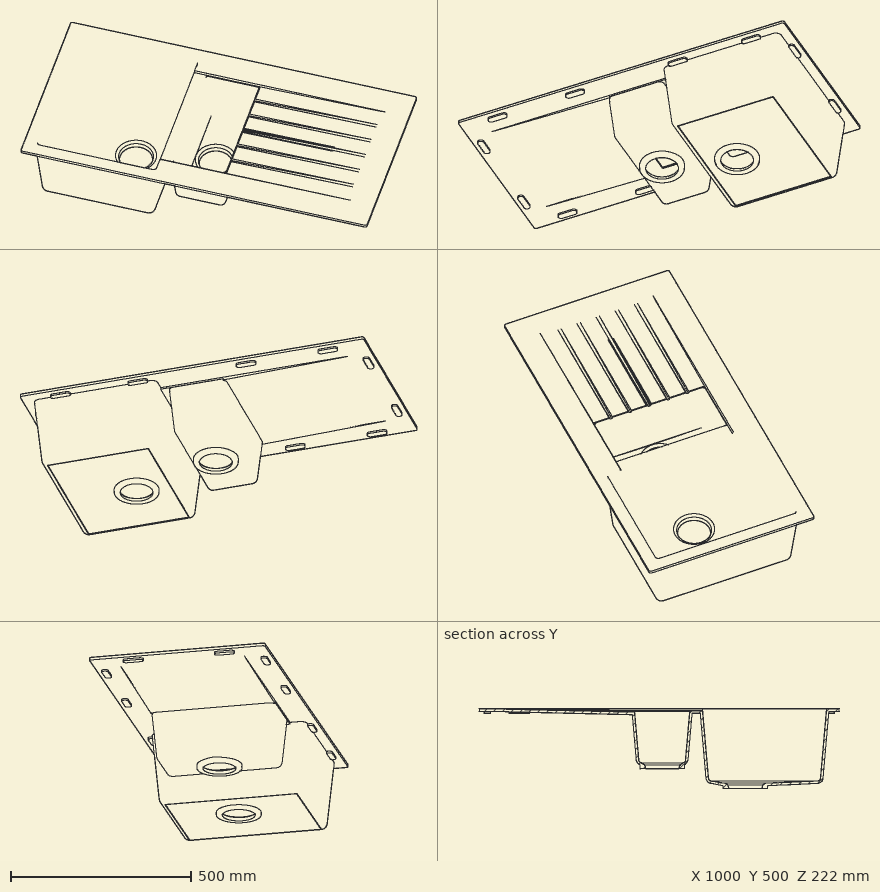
import cadquery as cq
import math

PLATE_LENGTH = 1000
PLATE_WIDTH = 500
SHEET = 8
PLATE_CORNER_RADIUS = 6

WALL_DRAFT = 5
INNER_FLOOR_FILLET = 7
OUTER_FLOOR_FILLET = 18
RIM_FILLET = 3
RIM_MARGIN = 1

MAIN_X = -292
MAIN_LENGTH = 344
MAIN_WIDTH = 427
MAIN_DEPTH = 200
MAIN_CORNER_RADIUS = 10
MAIN_FLOOR_FALL = 6
MAIN_FLOOR_MARGIN = 1

SMALL_X = -8
SMALL_LENGTH = 153
SMALL_WIDTH = 337
SMALL_DEPTH = 149
SMALL_CORNER_RADIUS = 6
SMALL_FLOOR_FALL = 2
SMALL_FLOOR_FLAT = 117

MAIN_DRAIN_X = -239
SMALL_DRAIN_X = -8.5
DRAIN_BOSS_RADIUS = 62.5
DRAIN_CONE_RADIUS = 57
DRAIN_CONE_DEPTH = 5
DRAIN_HOLE_TOP_RADIUS = 48.5
DRAIN_HOLE_RADIUS = 45.5
DRAIN_BOSS_FILLET = 2
MAIN_BOSS_BOTTOM = -222
SMALL_BOSS_BOTTOM = -167
DRAINS = (
    (MAIN_DRAIN_X, MAIN_BOSS_BOTTOM, -MAIN_DEPTH - MAIN_FLOOR_FALL),
    (SMALL_DRAIN_X, SMALL_BOSS_BOTTOM, -SMALL_DEPTH - SMALL_FLOOR_FALL),
)

LEDGE_DEPTH = 5
BOARD_WALL_FLARE = 0.6
CHANNEL_OVERSHOOT = 1
BOARD_START_X = SMALL_X + SMALL_LENGTH / 2
BOARD_END_X = 422
BOARD_END_DEPTH = 1
BOARD_LIP_X = 430
BOARD_TOP_WIDTH = SMALL_WIDTH + 2 * LEDGE_DEPTH * BOARD_WALL_FLARE
RECESS_STATIONS = (
    (MAIN_X, LEDGE_DEPTH),
    (BOARD_START_X, LEDGE_DEPTH),
    (BOARD_END_X, BOARD_END_DEPTH),
    (BOARD_LIP_X, 0),
)

GROOVE_PITCH = 58
GROOVE_COUNT = 5
GROOVE_WIDTH = 10
GROOVE_START_DEPTH = 9
GROOVE_WALL_FLARE = 0.7
WIDE_GROOVE_WIDTH = 16
WIDE_GROOVE_START_DEPTH = 6.5
WIDE_GROOVE_END_X = 332

PAD_LENGTH = 57
PAD_WIDTH = 18
PAD_HEIGHT = 5
PAD_EDGE_DISTANCE = 23
PAD_XS = (-389, -164, 151, 389)
PAD_Y = 130

DRAFT_SLOPE = math.tan(math.radians(WALL_DRAFT))


def tapered_block(x, length, width, top, bottom, corner_radius, floor_fillet):
    """Block narrowing downwards, with rounded corners and a rounded bottom edge."""
    block = (
        cq.Workplane("XY", origin=(x, 0, top))
        .rect(length, width)
        .extrude(bottom - top, taper=WALL_DRAFT)
    )
    block = block.edges("not(#Z)").fillet(corner_radius)
    return block.faces("<Z").edges().fillet(floor_fillet)


def bowl_outside(x, length, width, top, depth, corner_radius):
    """Bowl cavity grown by the sheet thickness, from the plate's top face down."""
    growth = 2 * (SHEET - top * DRAFT_SLOPE)
    return tapered_block(
        x, length + growth, width + growth, 0, -depth - SHEET,
        corner_radius + SHEET, OUTER_FLOOR_FILLET,
    )


def falling_floor(length, width, z):
    """Solid between a rectangle and the drain circle below it, with straight-ruled sides."""
    corners = [
        cq.Vector(MAIN_X + sx * length / 2, sy * width / 2, z)
        for sx, sy in ((1, 1), (-1, 1), (-1, -1), (1, -1))
    ]
    angles = [math.atan2(corner.y, corner.x - MAIN_DRAIN_X) % (2 * math.pi) for corner in corners]

    def on_circle(angle):
        return cq.Vector(
            MAIN_DRAIN_X + DRAIN_BOSS_RADIUS * math.cos(angle),
            DRAIN_BOSS_RADIUS * math.sin(angle),
            z - MAIN_FLOOR_FALL,
        )

    arcs = []
    for start, end in zip(angles, angles[1:] + angles[:1]):
        if end < start:
            end += 2 * math.pi
        arcs.append(cq.Edge.makeThreePointArc(on_circle(start), on_circle((start + end) / 2), on_circle(end)))
    rectangle = cq.Wire.makePolygon(corners, close=True)
    return cq.Workplane(cq.Solid.makeLoft([rectangle, cq.Wire.assembleEdges(arcs)], True))


def side_profile(points, width):
    """XZ outline extruded to the given width about Y = 0."""
    return cq.Workplane("XZ").polyline(points).close().extrude(width / 2, both=True)


def flared_channel(start, end, y, width, flare):
    """Channel along X between two stations, each given as (x, surface depth, bottom depth).

    The channel has the given width at the surface and reaches above it by the channel overshoot.
    """
    sections = []
    for x, surface_depth, bottom_depth in (start, end):
        top_half = width / 2 + CHANNEL_OVERSHOOT * flare
        bottom_half = width / 2 - (bottom_depth - surface_depth) * flare
        corners = [
            cq.Vector(x, y - top_half, CHANNEL_OVERSHOOT - surface_depth),
            cq.Vector(x, y - bottom_half, -bottom_depth),
            cq.Vector(x, y + bottom_half, -bottom_depth),
            cq.Vector(x, y + top_half, CHANNEL_OVERSHOOT - surface_depth),
        ]
        sections.append(cq.Wire.makePolygon(corners, close=True))
    return cq.Workplane(cq.Solid.makeLoft(sections, True))


def drain_boss(x, bottom, floor_z):
    """Round boss around a drain, from its rounded bottom edge up to the bowl floor."""
    boss = cq.Workplane("XY", origin=(x, 0, bottom)).circle(DRAIN_BOSS_RADIUS).extrude(floor_z - bottom)
    return boss.faces("<Z").edges().fillet(DRAIN_BOSS_FILLET)


def drain_opening(x, bottom, floor_z):
    """Cone leading from the floor into a slightly tapered through hole."""
    hole_top = floor_z - DRAIN_CONE_DEPTH
    outline = [
        (0, bottom),
        (DRAIN_HOLE_RADIUS, bottom),
        (DRAIN_HOLE_TOP_RADIUS, hole_top),
        (DRAIN_CONE_RADIUS, floor_z),
        (0, floor_z),
    ]
    profile = cq.Workplane("XZ", origin=(x, 0, 0)).polyline(outline).close()
    return profile.revolve(360, (0, 0, 0), (0, 1, 0))


def pad(x, y, angle):
    """Round-ended support pad hanging from the plate."""
    return (
        cq.Workplane("XY", origin=(x, y, -SHEET - PAD_HEIGHT))
        .slot2D(PAD_LENGTH, PAD_WIDTH, angle)
        .extrude(PAD_HEIGHT)
    )


def floor_size(size, depth, margin):
    """Side of the falling floor area, inside the floor fillets of a bowl."""
    draft_angle = math.radians(WALL_DRAFT)
    fillet_reach = INNER_FLOOR_FILLET * math.tan((math.pi / 2 - draft_angle) / 2)
    return size - 2 * (depth * DRAFT_SLOPE + fillet_reach + margin)


def rim_round(side):
    """Material to remove along a long edge of the small bowl (side -1 left, 1 right)."""
    wall_x = SMALL_X + side * (SMALL_LENGTH / 2 - RIM_FILLET * DRAFT_SLOPE)
    rim_x = wall_x + side * RIM_FILLET
    tangent_z = -LEDGE_DEPTH - RIM_FILLET
    arc_inset = RIM_FILLET * (1 - math.sqrt(0.5))
    outline = (
        cq.Workplane("XZ")
        .moveTo(SMALL_X, tangent_z)
        .lineTo(wall_x, tangent_z)
        .threePointArc((wall_x + side * arc_inset, -LEDGE_DEPTH - arc_inset), (rim_x, -LEDGE_DEPTH))
        .lineTo(SMALL_X, -LEDGE_DEPTH)
        .close()
    )
    return outline.extrude(SMALL_WIDTH / 2, both=True)


def board_line_depth(x, start_depth):
    """Depth at x of a line rising from start_depth at the small bowl to the far end of the board."""
    share_to_end = (BOARD_END_X - x) / (BOARD_END_X - BOARD_START_X)
    return BOARD_END_DEPTH + share_to_end * (start_depth - BOARD_END_DEPTH)


def groove(y, width, start_depth, end_x):
    """Drain groove that deepens from the far end of the board towards the small bowl."""
    start, end = [
        (x, board_line_depth(x, LEDGE_DEPTH), board_line_depth(x, start_depth))
        for x in (BOARD_START_X - RIM_FILLET, end_x)
    ]
    return flared_channel(start, end, y, width, GROOVE_WALL_FLARE)


body = (
    cq.Workplane("XY", origin=(0, 0, -SHEET))
    .rect(PLATE_LENGTH, PLATE_WIDTH)
    .extrude(SHEET)
    .edges("|Z")
    .fillet(PLATE_CORNER_RADIUS)
)

board_underside = side_profile(
    [
        (MAIN_X + MAIN_LENGTH / 2, -SHEET),
        (MAIN_X + MAIN_LENGTH / 2, -SHEET - LEDGE_DEPTH),
        (BOARD_START_X, -SHEET - LEDGE_DEPTH),
        (BOARD_START_X, -SHEET - GROOVE_START_DEPTH),
        (BOARD_END_X, -SHEET - BOARD_END_DEPTH),
        (BOARD_LIP_X, -SHEET),
    ],
    SMALL_WIDTH + 2 * SHEET,
)
body = body.union(board_underside)

body = body.union(bowl_outside(MAIN_X, MAIN_LENGTH, MAIN_WIDTH, 0, MAIN_DEPTH, MAIN_CORNER_RADIUS))
main_floor_length = floor_size(MAIN_LENGTH, MAIN_DEPTH, MAIN_FLOOR_MARGIN)
main_floor_width = floor_size(MAIN_WIDTH, MAIN_DEPTH, MAIN_FLOOR_MARGIN)
body = body.union(falling_floor(main_floor_length, main_floor_width, -MAIN_DEPTH - SHEET))

body = body.union(
    bowl_outside(SMALL_X, SMALL_LENGTH, SMALL_WIDTH, -LEDGE_DEPTH, SMALL_DEPTH, SMALL_CORNER_RADIUS)
)
for drain in DRAINS:
    body = body.union(drain_boss(*drain))

for side in (-1, 1):
    for pad_x in PAD_XS:
        body = body.union(pad(pad_x, side * (PLATE_WIDTH / 2 - PAD_EDGE_DISTANCE), 0))
    for pad_y in (-PAD_Y, PAD_Y):
        body = body.union(pad(side * (PLATE_LENGTH / 2 - PAD_EDGE_DISTANCE), pad_y, 90))

for (start_x, start_depth), (end_x, end_depth) in zip(RECESS_STATIONS, RECESS_STATIONS[1:]):
    body = body.cut(flared_channel(
        (start_x, 0, start_depth), (end_x, 0, end_depth), 0, BOARD_TOP_WIDTH, BOARD_WALL_FLARE,
    ))
body = body.cut(tapered_block(
    MAIN_X, MAIN_LENGTH, MAIN_WIDTH, 0, -MAIN_DEPTH, MAIN_CORNER_RADIUS, INNER_FLOOR_FILLET,
))
body = body.cut(tapered_block(
    SMALL_X, SMALL_LENGTH, SMALL_WIDTH, -LEDGE_DEPTH, -SMALL_DEPTH, SMALL_CORNER_RADIUS, INNER_FLOOR_FILLET,
))

body = body.cut(falling_floor(main_floor_length, main_floor_width, -MAIN_DEPTH))
small_floor_length = floor_size(SMALL_LENGTH, SMALL_DEPTH - LEDGE_DEPTH, 0)
small_floor_width = floor_size(SMALL_WIDTH, SMALL_DEPTH - LEDGE_DEPTH, 0)
small_floor = (
    cq.Workplane("YZ", origin=(SMALL_X, 0, -SMALL_DEPTH))
    .polyline([
        (-small_floor_width / 2, 0),
        (-SMALL_FLOOR_FLAT / 2, -SMALL_FLOOR_FALL),
        (SMALL_FLOOR_FLAT / 2, -SMALL_FLOOR_FALL),
        (small_floor_width / 2, 0),
    ])
    .close()
    .extrude(small_floor_length / 2, both=True)
)
body = body.cut(small_floor)
for drain in DRAINS:
    body = body.cut(drain_opening(*drain))

rim_reach_x = MAIN_LENGTH / 2 + RIM_MARGIN
rim_reach_y = MAIN_WIDTH / 2 + RIM_MARGIN
main_rim = cq.selectors.BoxSelector(
    (MAIN_X - rim_reach_x, -rim_reach_y, -LEDGE_DEPTH - RIM_MARGIN),
    (MAIN_X + rim_reach_x, rim_reach_y, RIM_MARGIN),
)
body = body.edges(main_rim).fillet(RIM_FILLET)
for side in (-1, 1):
    body = body.cut(rim_round(side))

body = body.cut(groove(0, WIDE_GROOVE_WIDTH, WIDE_GROOVE_START_DEPTH, WIDE_GROOVE_END_X))
for index in range(GROOVE_COUNT):
    groove_y = (index - (GROOVE_COUNT - 1) / 2) * GROOVE_PITCH
    body = body.cut(groove(groove_y, GROOVE_WIDTH, GROOVE_START_DEPTH, BOARD_END_X))

result = body